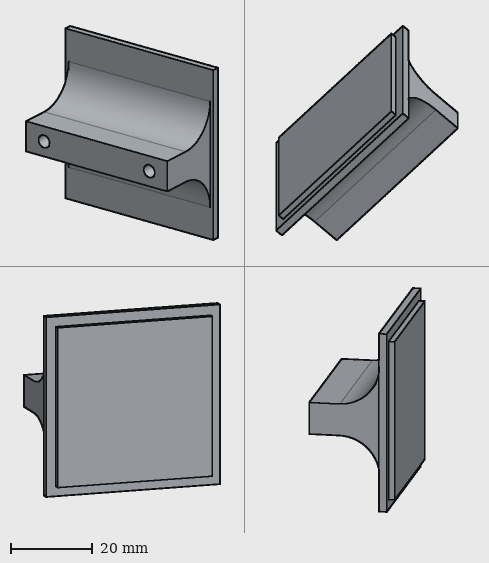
import cadquery as cq
import math

plate_side = 45.0
plate_thickness = 2.0

pad_side = 40.0
pad_thickness = 1.5

bar_length = 43.0
bar_height = 8.0
bar_reach = 17.55
flare_radius = 10.0

hole_diameter = 3.35
hole_spacing = 32.0
hole_depth = 10.0
drill_point_angle = 118.0

bar_end_y = -bar_reach


def square_slab(side, thickness, front_y):
    """Square slab centred on the Y axis, reaching back from front_y."""
    return cq.Workplane("XY").box(side, thickness, side).translate((0, front_y + thickness / 2, 0))


def flared_bar():
    """Bar whose top and bottom sweep out into the plate as quarter circles."""
    half_height = bar_height / 2
    root_half_height = half_height + flare_radius
    arc_offset = flare_radius * (1 - math.sqrt(0.5))
    return (
        cq.Workplane("YZ")
        .moveTo(bar_end_y, -half_height)
        .lineTo(-flare_radius, -half_height)
        .threePointArc((-arc_offset, -half_height - arc_offset), (0, -root_half_height))
        .lineTo(0, root_half_height)
        .threePointArc((-arc_offset, half_height + arc_offset), (-flare_radius, half_height))
        .lineTo(bar_end_y, half_height)
        .close()
        .extrude(bar_length / 2, both=True)
    )


def drilled_hole(x):
    """Blind hole with a conical bottom, drilled into the bar end face."""
    radius = hole_diameter / 2
    point_length = radius / math.tan(math.radians(drill_point_angle / 2))
    shoulder_y = bar_end_y + hole_depth
    return (
        cq.Workplane("XY")
        .moveTo(0, bar_end_y)
        .lineTo(radius, bar_end_y)
        .lineTo(radius, shoulder_y)
        .lineTo(0, shoulder_y + point_length)
        .close()
        .revolve(360, (0, 0, 0), (0, 1, 0))
        .translate((x, 0, 0))
    )


plate = square_slab(plate_side, plate_thickness, 0)
pad = square_slab(pad_side, pad_thickness, plate_thickness)
result = plate.union(pad).union(flared_bar())

for hole_x in (-hole_spacing / 2, hole_spacing / 2):
    result = result.cut(drilled_hole(hole_x))